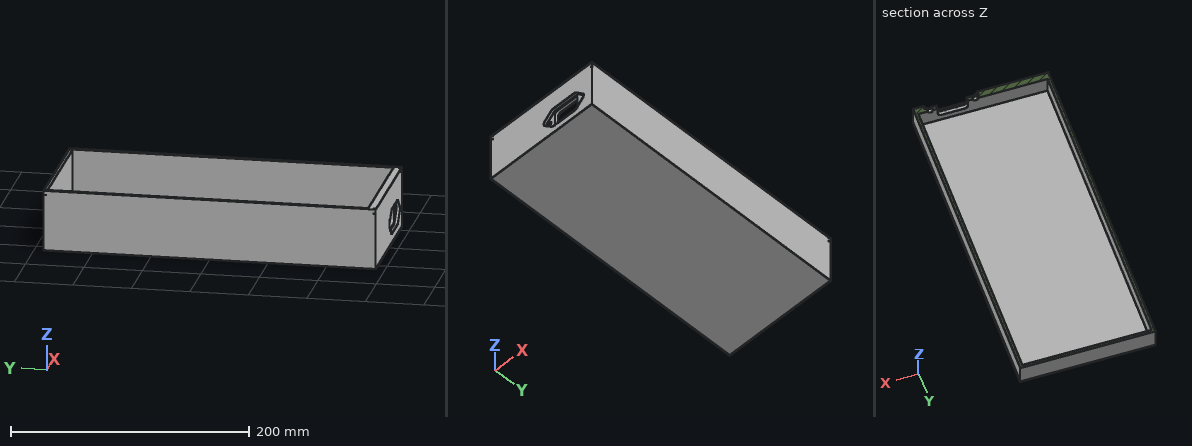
import cadquery as cq

length = 284.0
width = 120.0
height = 52.5

screw_diameter = 1.6
screw_depth = 4.0
screw_inset = 1.5

wall = 2 * screw_inset
floor = wall
front_wall = 6.8

inlet_x = 26.7
inlet_z = 19.0
recess_depth = wall
flange_height = 21.5
flange_flat = 27.8
flange_tip_span = 50.5
flange_round = 3.5
window_width = 26.7
window_height = 19.0
window_round = 3.5
mount_spacing = 40.0
mount_diameter = 4.0

front_y = -length / 2


def make_tray():
    """Box with a rectangular cavity, thicker at the front wall."""
    tray = cq.Workplane("XY").box(width, length, height, centered=(True, True, False))
    cavity = (
        cq.Workplane("XY")
        .box(width - 2 * wall, length - front_wall - wall, height, centered=(True, False, False))
        .translate((0, front_y + front_wall, floor))
    )
    return tray.cut(cavity)


def make_rim_screw_holes():
    """Four vertical holes at equal distances from the outer faces."""
    x = width / 2 - screw_inset
    y = length / 2 - screw_inset
    return (
        cq.Workplane("XY", origin=(0, 0, height))
        .pushPoints([(-x, -y), (x, -y), (x, y), (-x, y)])
        .circle(screw_diameter / 2)
        .extrude(-screw_depth)
    )


def make_inlet_cut():
    """Hexagonal flange recess with the window and mounting holes through the wall."""
    face = cq.Workplane("XZ", origin=(inlet_x, front_y, inlet_z))
    half_flat = flange_flat / 2
    half_tip = flange_tip_span / 2
    half_height = flange_height / 2
    recess = (
        face.polyline([
            (-half_tip, 0),
            (-half_flat, half_height),
            (half_flat, half_height),
            (half_tip, 0),
            (half_flat, -half_height),
            (-half_flat, -half_height),
        ])
        .close()
        .extrude(-recess_depth)
        .edges("|Y")
        .fillet(flange_round)
    )
    window = (
        face.rect(window_width, window_height)
        .extrude(-front_wall)
        .edges("|Y")
        .fillet(window_round)
    )
    mounts = (
        face.pushPoints([(-mount_spacing / 2, 0), (mount_spacing / 2, 0)])
        .circle(mount_diameter / 2)
        .extrude(-front_wall)
    )
    return recess.union(window).union(mounts)


result = make_tray().cut(make_rim_screw_holes()).cut(make_inlet_cut())